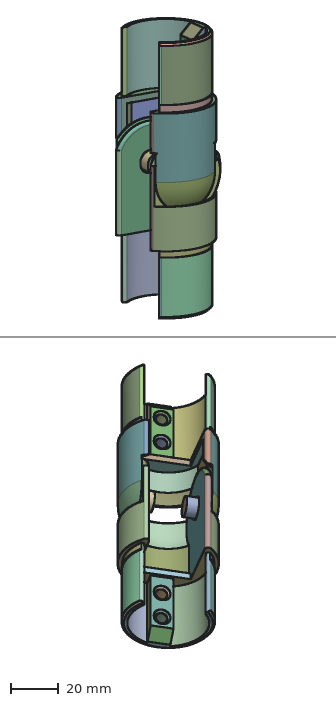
import cadquery as cq
import math


half_length = 60.0
collar_end = 30.0
groove_width = 3.2

collar_radius = 21.18
slot_half_width = 12.0
slot_floor_y = 8.9
lip_front_y = -15.8
end_wall = 2.9
cavity_radius = 16.7

sleeve_outer_radius = 19.5
sleeve_inner_radius = 17.2
sleeve_half_angle = 127.8
sleeve_chamfer = 1.0
groove_radius = 19.3

block_width = 9.8
block_front_y = 10.3
block_top_y = 15.5
block_bevel_height = 4.8
screw_positions = (38.0, 50.0)
screw_diameter = 5.0
countersink_diameter = 7.2

pin_diameter = 9.0
pin_hole_diameter = 10.0
pin_inner_x = 7.0
plate_outer_x = 14.9
cheek_inner_x = 15.2
disc_radius = 17.3
disc_fillet = 1.3
upper_skirt_z = 12.5
socket_radius = 23.0
lower_rim_z = -10.7

guard_outer_radius = 22.9
guard_inner_radius = 20.2
guard_clearance = 0.8
guard_top_z = 5.3
guard_inner_top_z = 3.7
guard_trim_margin = 1.2

big = 2 * half_length


def box(x_half, y_min, y_max, z_min, z_max):
    """Block centred on X = 0."""
    return cq.Workplane("XY").box(
        2 * x_half, y_max - y_min, z_max - z_min, centered=(True, False, False)
    ).translate((0, y_min, z_min))


def cylinder(radius, z_min, z_max):
    return cq.Workplane("XY").workplane(offset=z_min).circle(radius).extrude(z_max - z_min)


def x_cylinder(diameter, x_min, x_max):
    return cq.Workplane("YZ").workplane(offset=x_min).circle(diameter / 2).extrude(x_max - x_min)


def ball_slice(radius, x_min, x_max):
    """Part of a sphere about the hinge centre that lies between two X planes."""
    start_angle = math.degrees(math.asin(x_min / radius))
    end_angle = math.degrees(math.asin(x_max / radius))
    origin = cq.Vector(0, 0, 0)
    along_x = cq.Vector(1, 0, 0)
    ball = cq.Solid.makeSphere(radius, origin, along_x, start_angle, end_angle, 360)
    return cq.Workplane(ball)


def mirror_pair(solid):
    """The solid and its mirror image across X = 0."""
    return solid.union(solid.mirror("YZ"))


def slotted_collar(z_min, z_max):
    """Solid collar with the front slot, ending in fully rounded lips."""
    half_sum = collar_radius + slot_half_width + lip_front_y
    lip_radius = math.sqrt(
        half_sum**2 + collar_radius**2 - slot_half_width**2 - lip_front_y**2
    ) - half_sum
    lip_x = slot_half_width + lip_radius
    lip_y = lip_front_y + lip_radius
    touch_scale = collar_radius / (collar_radius - lip_radius)
    touch_x = lip_x * touch_scale
    touch_y = lip_y * touch_scale
    return (
        cq.Workplane("XY").workplane(offset=z_min)
        .moveTo(-slot_half_width, slot_floor_y)
        .lineTo(-slot_half_width, lip_y)
        .threePointArc((-lip_x, lip_front_y), (-touch_x, touch_y))
        .threePointArc((0, collar_radius), (touch_x, touch_y))
        .threePointArc((lip_x, lip_front_y), (slot_half_width, lip_y))
        .lineTo(slot_half_width, slot_floor_y)
        .close().extrude(z_max - z_min)
    )


def sleeve():
    """C-shaped insert above the collar, with rounded ends, groove and end chamfer."""
    height = half_length - collar_end
    angle = math.radians(sleeve_half_angle)
    sin_end = math.sin(angle)
    cos_end = math.cos(angle)
    outer = sleeve_outer_radius
    inner = sleeve_inner_radius
    middle = (outer + inner) / 2
    round_radius = (outer - inner) / 2
    tip_x = middle * sin_end + round_radius * cos_end
    tip_y = middle * cos_end - round_radius * sin_end
    ring = (
        cq.Workplane("XY").workplane(offset=collar_end)
        .moveTo(-outer * sin_end, outer * cos_end)
        .threePointArc((0, outer), (outer * sin_end, outer * cos_end))
        .threePointArc((tip_x, tip_y), (inner * sin_end, inner * cos_end))
        .threePointArc((0, inner), (-inner * sin_end, inner * cos_end))
        .threePointArc((-tip_x, tip_y), (-outer * sin_end, outer * cos_end))
        .close().extrude(height)
    )
    groove_top = collar_end + groove_width
    groove = cylinder(collar_radius, collar_end, groove_top).cut(
        cylinder(groove_radius, collar_end, groove_top)
    )
    end_envelope = cylinder(outer, collar_end, half_length).faces(">Z").chamfer(sleeve_chamfer)
    return ring.cut(groove).intersect(end_envelope)


def screw_block():
    """Bevelled block on the sleeve's rear wall."""
    back_y = (sleeve_inner_radius + groove_radius) / 2
    block = (
        cq.Workplane("YZ").workplane(offset=-block_width / 2)
        .polyline([
            (block_front_y, collar_end),
            (block_front_y, half_length - block_bevel_height),
            (block_top_y, half_length),
            (back_y, half_length),
            (back_y, collar_end),
        ]).close().extrude(block_width)
    )
    return block.intersect(cylinder(back_y, collar_end, half_length))


def screw_holes():
    """Countersunk through holes, opening at the front of the screw block."""
    sink_depth = (countersink_diameter - screw_diameter) / 2
    holes = cq.Workplane("XY")
    for z in screw_positions:
        start = cq.Vector(0, block_front_y, z)
        along_y = cq.Vector(0, 1, 0)
        bore = cq.Solid.makeCylinder(screw_diameter / 2, collar_radius, start, along_y)
        sink = cq.Solid.makeCone(
            countersink_diameter / 2, screw_diameter / 2, sink_depth, start, along_y
        )
        holes = holes.add(bore.fuse(sink))
    return holes


def insert_end():
    """Sleeve and screw block above the collar, shared by both halves."""
    end = sleeve().union(screw_block())
    for hole in screw_holes().vals():
        end = end.cut(cq.Workplane(hole))
    return end


def dome_trim():
    """Everything outside the spherical lower end of the cheeks."""
    quarter = collar_radius * math.sqrt(0.5)
    return (
        cq.Workplane("XZ")
        .moveTo(collar_radius, 0)
        .threePointArc((quarter, -quarter), (0, -collar_radius))
        .lineTo(big, -collar_radius)
        .lineTo(big, 0)
        .close().revolve(360, (0, 0, 0), (0, 1, 0))
    )


def upper_half():
    """Half with the side cheeks and the hinge pins."""
    body = slotted_collar(-collar_radius, collar_end)
    body = body.cut(box(cheek_inner_x, -big, big, -big, upper_skirt_z)).cut(dome_trim())

    cavity = cylinder(cavity_radius, 0, collar_end - end_wall).intersect(
        box(plate_outer_x, -big, big, 0, big)
    )
    swing_radius = guard_outer_radius + guard_clearance
    swing_space = ball_slice(swing_radius, -cheek_inner_x, cheek_inner_x)
    body = body.cut(cavity).cut(swing_space)

    cheek_middle_x = (cheek_inner_x + collar_radius) / 2
    pins = mirror_pair(x_cylinder(pin_diameter, pin_inner_x, cheek_middle_x))
    return body.union(pins).union(insert_end())


def rear_guard():
    """Spherical shell behind the hinge, with a conical top edge."""
    top_radius = math.sqrt(guard_outer_radius**2 - guard_top_z**2)
    inner_top_radius = math.sqrt(guard_inner_radius**2 - guard_inner_top_z**2)
    slope = (guard_top_z - guard_inner_top_z) / (top_radius - inner_top_radius)
    rim_radius = top_radius + guard_trim_margin
    axis_z = guard_top_z - slope * top_radius
    rim_z = guard_top_z + slope * guard_trim_margin
    above_edge = (
        cq.Workplane("XZ")
        .polyline([(0, axis_z), (rim_radius, rim_z), (rim_radius, big), (0, big)])
        .close().revolve(360, (0, 0, 0), (0, 1, 0))
    )
    guard = ball_slice(guard_outer_radius, -plate_outer_x, plate_outer_x).cut(above_edge)
    return guard.intersect(box(big, 0, big, lower_rim_z, big))


def hinge_plates():
    """Flat plates beside the slot, rounded about the hinge axis at the top."""
    disc = x_cylinder(2 * disc_radius, slot_half_width, plate_outer_x)
    disc = disc.edges().fillet(disc_fillet)
    discs = mirror_pair(disc).intersect(box(big, -big, big, lower_rim_z, big))
    lips = slotted_collar(lower_rim_z, disc_radius)
    front = lips.union(box(plate_outer_x, 0, big, lower_rim_z, disc_radius))
    straight_top_z = math.sqrt(disc_radius**2 - lip_front_y**2)
    straight = lips.intersect(box(plate_outer_x, -big, 0, lower_rim_z, straight_top_z))
    return discs.intersect(front).union(straight)


def lower_half():
    """Half with the hinge plates, the rear guard and the sockets for the cheeks."""
    collar = slotted_collar(-collar_end, lower_rim_z)
    socket = ball_slice(socket_radius, plate_outer_x, socket_radius)
    collar = collar.cut(mirror_pair(socket))
    body = collar.union(rear_guard()).union(hinge_plates())
    cavity = cylinder(cavity_radius, -collar_end + end_wall, lower_rim_z).intersect(
        box(slot_half_width, -big, big, -big, big)
    )
    hollow = ball_slice(guard_inner_radius, -slot_half_width, slot_half_width)
    body = body.cut(cavity).cut(hollow)
    body = body.cut(x_cylinder(pin_hole_diameter, -plate_outer_x, plate_outer_x))
    return body.union(insert_end().mirror("XY"))


upper = upper_half()
lower = lower_half()

result = cq.Compound.makeCompound([upper.val(), lower.val()])